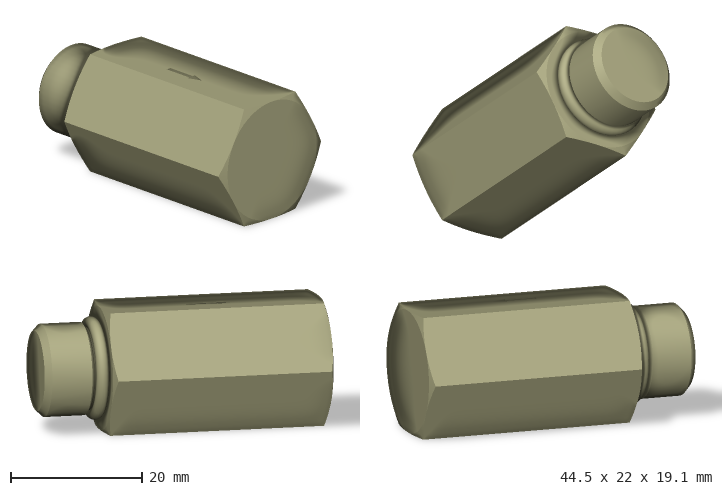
import cadquery as cq
import math

total_length = 44.45
hex_start = 9.9
hex_across_flats = 19.05
hex_across_corners = hex_across_flats / math.cos(math.radians(30))
hex_chamfer_angle = 20.0

spigot_radius = 14.25 / 2
nose_radius = 12.3 / 2
nose_chamfer = spigot_radius - nose_radius
neck_radius = 12.75 / 2
neck_cone_start = 7.25
neck_cone_length = 0.55

ring_section_radius = 2.0 / 2
ring_outer_radius = 7.9
ring_center_radius = ring_outer_radius - ring_section_radius
ring_center_x = hex_start - ring_section_radius

arrow_start = 23.25
arrow_length = 7.25
arrow_head_length = 2.4
arrow_y = -1.3
arrow_shaft_width = 0.85
arrow_head_width = 1.7
arrow_depth = 0.15


def revolve_about_x(points):
    """Revolve a closed (x, radius) outline about the X axis."""
    axis_start = (0, 0, 0)
    axis_end = (1, 0, 0)
    return cq.Workplane("XY").polyline(points).close().revolve(360, axis_start, axis_end)


def make_spigot():
    """Plain spigot with a chamfered nose and a neck that runs into the hexagon."""
    return revolve_about_x([
        (0, 0),
        (0, nose_radius),
        (nose_chamfer, spigot_radius),
        (neck_cone_start, spigot_radius),
        (neck_cone_start + neck_cone_length, neck_radius),
        (hex_start, neck_radius),
        (hex_start, 0),
    ])


def make_hexagon():
    """Hexagonal bar with corners on +Y and -Y, conically chamfered at both ends."""
    bar = (
        cq.Workplane("YZ", origin=(hex_start, 0, 0))
        .polygon(6, hex_across_corners)
        .extrude(total_length - hex_start)
    )
    flat_radius = hex_across_flats / 2
    corner_radius = hex_across_corners / 2
    chamfer_length = (corner_radius - flat_radius) * math.tan(math.radians(hex_chamfer_angle))
    chamfer_envelope = revolve_about_x([
        (hex_start, 0),
        (hex_start, flat_radius),
        (hex_start + chamfer_length, corner_radius),
        (total_length - chamfer_length, corner_radius),
        (total_length, flat_radius),
        (total_length, 0),
    ])
    return bar.intersect(chamfer_envelope)


def make_arrow():
    """Cutter for the engraved flow arrow."""
    head_start = arrow_length - arrow_head_length
    half_shaft = arrow_shaft_width / 2
    half_head = arrow_head_width / 2
    return (
        cq.Workplane("XY", origin=(arrow_start, arrow_y, hex_across_flats / 2))
        .polyline([
            (0, -half_shaft),
            (head_start, -half_shaft),
            (head_start, -half_head),
            (arrow_length, 0),
            (head_start, half_head),
            (head_start, half_shaft),
            (0, half_shaft),
        ])
        .close()
        .extrude(-arrow_depth)
    )


def make_ring():
    """Round-section sealing ring around the neck."""
    ring = cq.Solid.makeTorus(
        ring_center_radius,
        ring_section_radius,
        cq.Vector(ring_center_x, 0, 0),
        cq.Vector(1, 0, 0),
    )
    return cq.Workplane(obj=ring)


ring = make_ring()
housing = make_hexagon().union(make_spigot()).cut(make_arrow()).cut(ring)

result = cq.Compound.makeCompound([housing.val(), ring.val()])